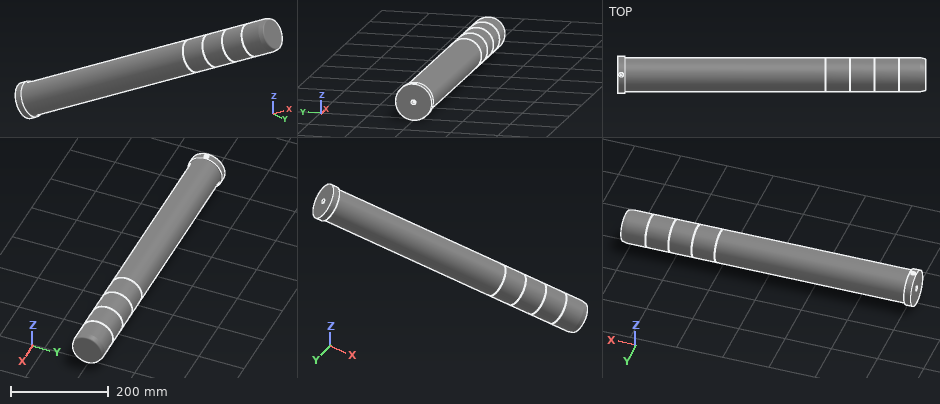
import cadquery as cq
import math

length = 630.0
head_diameter = 76.0
head_length = 15.0
shaft_diameter = 70.0

neck_radius = 0.95

groove_count = 4
first_groove_x = 425.0
last_groove_x = 575.0
groove_width = 2.2
groove_depth = 0.75

lead_start_x = 618.5
lead_radius_drop = 2.0
nose_radius = 3.0

centre_mouth_diameter = 10.0
centre_pilot_diameter = 5.0
centre_pilot_depth = 12.5
centre_cone_angle = 60
drill_point_angle = 118

recess_outer_diameter = 9.5
recess_core_diameter = 4.0
recess_depth = 2.0

head_radius = head_diameter / 2
shaft_radius = shaft_diameter / 2


def pillar_body():
    """Head, neck fillet, shaft, lead-in taper and rounded nose as one revolved profile."""
    nose_start_x = length - nose_radius
    lead_end_radius = shaft_radius - lead_radius_drop
    return (
        cq.Workplane("XZ")
        .moveTo(0, 0)
        .lineTo(0, head_radius)
        .lineTo(head_length, head_radius)
        .lineTo(head_length, shaft_radius + neck_radius)
        .radiusArc((head_length + neck_radius, shaft_radius), -neck_radius)
        .lineTo(lead_start_x, shaft_radius)
        .lineTo(nose_start_x, lead_end_radius)
        .radiusArc((length, lead_end_radius - nose_radius), nose_radius)
        .lineTo(length, 0)
        .close()
        .revolve(360, (0, 0, 0), (1, 0, 0))
    )


def ring_groove(centre_x):
    """Ring that cuts a V groove around the shaft."""
    half_width = groove_width / 2
    return (
        cq.Workplane("XZ")
        .moveTo(centre_x - half_width, shaft_radius)
        .lineTo(centre_x, shaft_radius - groove_depth)
        .lineTo(centre_x + half_width, shaft_radius)
        .close()
        .revolve(360, (0, 0, 0), (1, 0, 0))
    )


def cut_ring_grooves(body):
    """Cut the evenly pitched grooves, counting from the one nearest the head."""
    pitch = (last_groove_x - first_groove_x) / (groove_count - 1)
    for index in range(groove_count):
        body = body.cut(ring_groove(first_groove_x + index * pitch))
    return body


def cut_centre_drilling(body):
    """Cut the conical mouth and pointed pilot hole on the axis of the head face."""
    mouth_radius = centre_mouth_diameter / 2
    pilot_radius = centre_pilot_diameter / 2
    cone_depth = (mouth_radius - pilot_radius) / math.tan(math.radians(centre_cone_angle / 2))
    point_length = pilot_radius / math.tan(math.radians(drill_point_angle / 2))
    cutter = (
        cq.Workplane("XZ")
        .moveTo(0, 0)
        .lineTo(0, mouth_radius)
        .lineTo(cone_depth, pilot_radius)
        .lineTo(centre_pilot_depth, pilot_radius)
        .lineTo(centre_pilot_depth + point_length, 0)
        .close()
        .revolve(360, (0, 0, 0), (1, 0, 0))
    )
    return body.cut(cutter)


def cut_ring_recess(body):
    """Sink the ring-shaped recess from above, halfway along the head."""
    cutter = (
        cq.Workplane("XY", origin=(head_length / 2, 0, head_radius))
        .circle(recess_outer_diameter / 2)
        .circle(recess_core_diameter / 2)
        .extrude(-recess_depth)
    )
    return body.cut(cutter)


body = pillar_body()
body = cut_ring_grooves(body)
body = cut_centre_drilling(body)
result = cut_ring_recess(body)